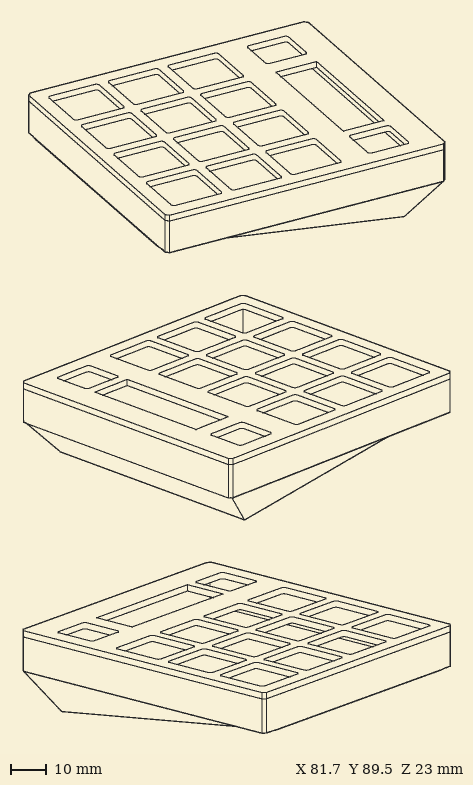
import cadquery as cq


case_width = 81.74
case_length = 89.3
case_height = 12.0
lid_thickness = 1.86
corner_chamfer = 0.95
wall = 1.5

key_columns = 4
key_rows = 3
key_pitch = 19.05
key_window = 16.0
window_radius = 0.9
key_field_y = -13.35

top_row_y = 29.15
top_row_height = 13.0
display_width = 39.4
display_x = 1.1
side_window_width = 12.0
side_window_x = 29.9

total_height = 23.04
foot_side_inset = 0.2
foot_end_inset = corner_chamfer - foot_side_inset
foot_side_taper = 5.0
foot_back_inset = 10.75
foot_lip_overhang = 0.22
foot_lip_drop = 0.02


def case_block(z_bottom, height):
    """Chamfer-cornered block with the outline of the enclosure."""
    return (
        cq.Workplane("XY", origin=(0, 0, z_bottom))
        .rect(case_width, case_length)
        .extrude(height)
        .edges("|Z")
        .chamfer(corner_chamfer)
    )


def rounded_windows(centres, width, height):
    """Cutters through the lid with rounded corners, one at each centre."""
    return (
        cq.Workplane("XY")
        .pushPoints(centres)
        .rect(width, height)
        .extrude(-lid_thickness)
        .edges("|Z")
        .fillet(window_radius)
    )


def make_lid():
    """Plate with a grid of key windows and a row of three windows behind it."""
    key_centres = [
        ((column - (key_columns - 1) / 2) * key_pitch,
         key_field_y + (row - (key_rows - 1) / 2) * key_pitch)
        for column in range(key_columns)
        for row in range(key_rows)
    ]
    side_centres = [(side * side_window_x, top_row_y) for side in (-1, 1)]
    display = (
        cq.Workplane("XY")
        .center(display_x, top_row_y)
        .rect(display_width, top_row_height)
        .extrude(-lid_thickness)
    )
    return (
        case_block(-lid_thickness, lid_thickness)
        .cut(rounded_windows(key_centres, key_window, key_window))
        .cut(rounded_windows(side_centres, side_window_width, top_row_height))
        .cut(display)
    )


def rectangle_wire(half_width, front, back):
    """Closed rectangle between a front and a back edge, each given as (y, z)."""
    corners = [
        cq.Vector(-half_width, *front),
        cq.Vector(half_width, *front),
        cq.Vector(half_width, *back),
        cq.Vector(-half_width, *back),
    ]
    return cq.Wire.makePolygon(corners, close=True)


def make_foot():
    """Ruled loft from a level rectangle under the case to a smaller, tilted one."""
    half_length = case_length / 2
    top_y = half_length - foot_end_inset
    top = rectangle_wire(
        case_width / 2 - foot_side_inset,
        (-top_y, -case_height),
        (top_y, -case_height),
    )
    underside = rectangle_wire(
        case_width / 2 - foot_side_taper,
        (-half_length - foot_lip_overhang, -case_height - foot_lip_drop),
        (half_length - foot_back_inset, -total_height),
    )
    return cq.Workplane(cq.Solid.makeLoft([top, underside], True))


def make_tray():
    """Four walls standing on the foot, whose level top is the tray floor."""
    cavity = (
        cq.Workplane("XY", origin=(0, 0, -case_height))
        .rect(case_width - 2 * wall, case_length - 2 * wall)
        .extrude(case_height)
    )
    walls = case_block(-case_height, case_height - lid_thickness).cut(cavity)
    return walls.union(make_foot())


lid = make_lid()
tray = make_tray()

result = cq.Compound.makeCompound([lid.val(), *tray.solids().vals()])